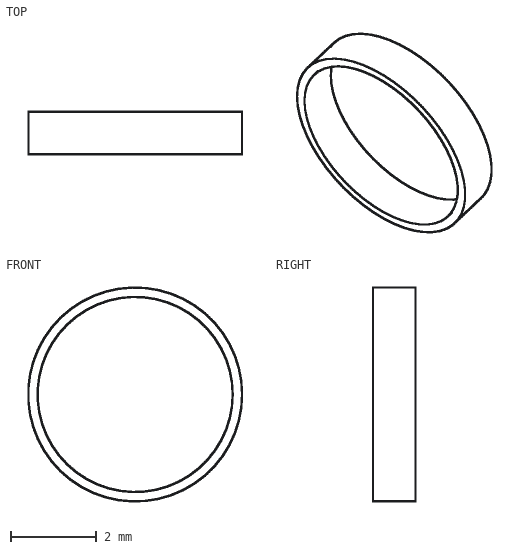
import cadquery as cq

outer_diameter = 5.0
inner_diameter = 4.55
width = 1.0

result = (
    cq.Workplane("XZ", origin=(0, width / 2, 0))
    .circle(outer_diameter / 2)
    .circle(inner_diameter / 2)
    .extrude(width)
)